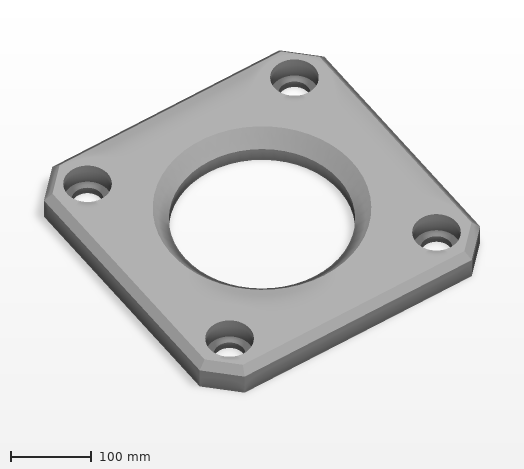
import cadquery as cq

side = 420.0
thickness = 40.0
corner_cut = 40.0
edge_chamfer = 10.0

bore_diameter = 230.0
cone_top_diameter = 270.0
cone_depth = (cone_top_diameter - bore_diameter) / 2

hole_spacing = 310.0
hole_diameter = 40.0
counterbore_diameter = 60.0
counterbore_depth = 30.0


def make_plate():
    """Square plate with cut corners and a bevel around the top rim."""
    plate = cq.Workplane("XY").box(side, side, thickness, centered=(True, True, False))
    plate = plate.edges("|Z").chamfer(corner_cut)
    return plate.faces(">Z").edges().chamfer(edge_chamfer)


def cut_central_opening(plate):
    """Through bore with a flared mouth on the top face."""
    plate = plate.faces(">Z").workplane(origin=(0, 0, thickness)).hole(bore_diameter)
    flare = cq.Solid.makeCone(
        bore_diameter / 2,
        cone_top_diameter / 2,
        cone_depth,
        pnt=cq.Vector(0, 0, thickness - cone_depth),
    )
    return plate.cut(cq.Workplane(flare))


def cut_bolt_holes(plate):
    """Four counterbored holes, one near each corner."""
    return (
        plate.faces(">Z")
        .workplane(origin=(0, 0, thickness))
        .rarray(hole_spacing, hole_spacing, 2, 2)
        .cboreHole(hole_diameter, counterbore_diameter, counterbore_depth)
    )


result = cut_bolt_holes(cut_central_opening(make_plate()))